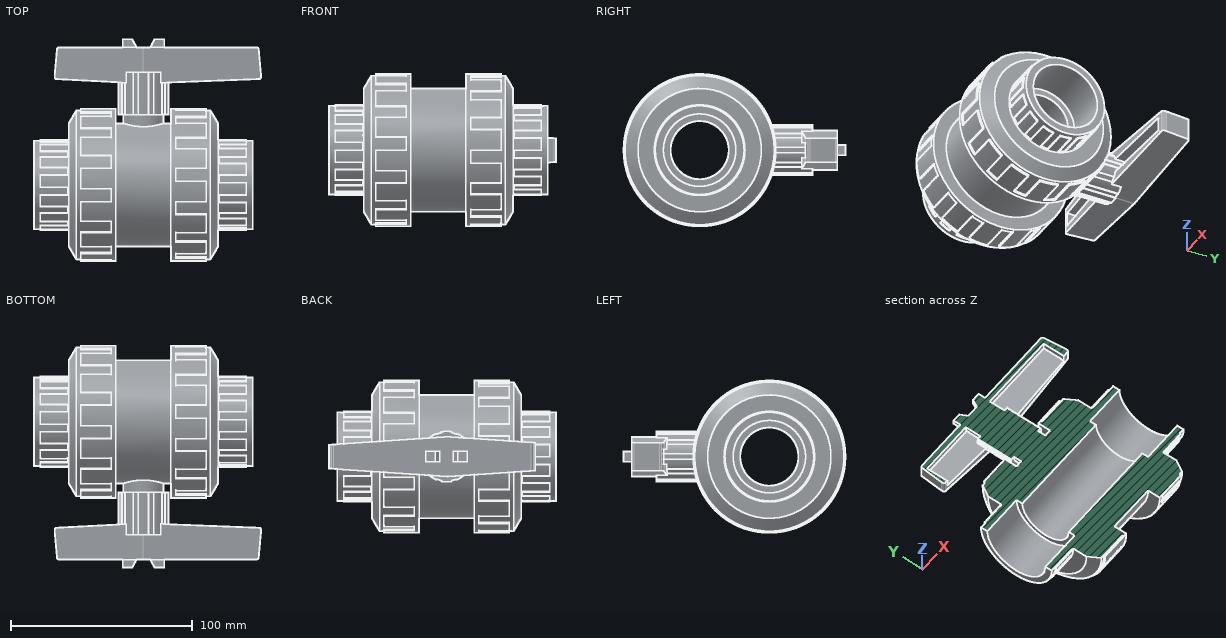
import cadquery as cq


overall_length = 125.2

pipe_end_x = 60.4
pipe_diameter = 49.0
pipe_rib_diameter = 50.0
pipe_rib_end_x = 56.7
pipe_gap_start_x = 41.8

bore_diameter = 32.0
socket_diameter = 40.0
socket_depth = 26.7

body_diameter = 68.0
nut_inner_x = 15.2
nut_gap_start_x = 17.8
nut_rib_end_x = 34.6
nut_cone_start_x = 37.0
nut_outer_x = 41.2
nut_diameter = 82.3
nut_rib_diameter = 84.0
nut_face_diameter = body_diameter

rib_count = 14
rib_gap_angle = 10.0
rib_gap_depth = 1.3

stem_diameter = 22.3
hub_diameter = 27.9
hub_bottom_y = 38.8
hub_top_y = 62.2
hub_groove_count = 10
hub_groove_width = 3.0
hub_groove_depth = 0.5

handle_left_x = -49.0
handle_right_x = overall_length - pipe_end_x
handle_crease_x = -0.5
handle_top_y = 75.9
handle_end_bottom_y = 58.4
handle_lean_start_y = 60.6
handle_middle_bottom_y = 55.9
handle_end_lean = 1.4
handle_edge_radius = 1.3
handle_middle_width = 21.9
handle_left_width = 15.4
handle_right_width = 13.2

pocket_width = 8.3
pocket_left_wall = 2.9
pocket_right_wall = 4.8
pocket_roof = 3.8

lug_height = 4.5
lug_width = 5.8
lug_outer_x = 11.5
lug_top_inner_x = 6.1
lug_base_inner_x = 3.8


def cylinder_along_x(diameter, start_x, end_x):
    return cq.Workplane("YZ", origin=(start_x, 0, 0)).circle(diameter / 2).extrude(end_x - start_x)


def cylinder_along_y(diameter, start_y, end_y):
    return cq.Workplane("XZ", origin=(0, start_y, 0)).circle(diameter / 2).extrude(start_y - end_y)


def make_rib_ring(diameter, collar_start_x, gap_start_x, end_x):
    """Collar whose outer end is split into evenly spaced ribs by gaps deeper than the ribs."""
    ring = cylinder_along_x(diameter, collar_start_x, end_x)
    gap = (
        cq.Workplane("XY")
        .moveTo(gap_start_x, diameter / 2 - rib_gap_depth)
        .lineTo(end_x, diameter / 2 - rib_gap_depth)
        .lineTo(end_x, diameter / 2 + rib_gap_depth)
        .lineTo(gap_start_x, diameter / 2 + rib_gap_depth)
        .close()
        .revolve(rib_gap_angle, (0, 0, 0), (1, 0, 0))
    )
    for index in range(rib_count):
        ring = ring.cut(gap.rotate((0, 0, 0), (1, 0, 0), index * 360 / rib_count))
    return ring


def make_union_end():
    """One end of the valve: union nut and pipe stub on the +X side."""
    core = (
        cq.Workplane("XY")
        .moveTo(nut_inner_x, 0)
        .lineTo(nut_inner_x, nut_diameter / 2)
        .lineTo(nut_cone_start_x, nut_diameter / 2)
        .lineTo(nut_outer_x, nut_face_diameter / 2)
        .lineTo(nut_outer_x, pipe_diameter / 2)
        .lineTo(pipe_end_x, pipe_diameter / 2)
        .lineTo(pipe_end_x, 0)
        .close()
        .revolve(360, (0, 0, 0), (1, 0, 0))
    )
    nut_ribs = make_rib_ring(nut_rib_diameter, nut_inner_x, nut_gap_start_x, nut_rib_end_x)
    pipe_ribs = make_rib_ring(pipe_rib_diameter, nut_inner_x, pipe_gap_start_x, pipe_rib_end_x)
    return core.union(nut_ribs).union(pipe_ribs)


def make_hub():
    """Splined hub between the stem and the handle."""
    hub = cylinder_along_y(hub_diameter, hub_bottom_y, hub_top_y)
    hub_height = hub_top_y - hub_bottom_y
    groove = cq.Workplane("XY").box(2 * hub_groove_depth, hub_height, hub_groove_width)
    groove = groove.translate((hub_diameter / 2, (hub_bottom_y + hub_top_y) / 2, 0))
    for index in range(hub_groove_count):
        hub = hub.cut(groove.rotate((0, 0, 0), (0, 1, 0), index * 360 / hub_groove_count))
    return hub


def make_handle():
    """Lever that thins towards both ends, hollow underneath."""
    side = (
        cq.Workplane("XY")
        .moveTo(handle_left_x, handle_end_bottom_y)
        .lineTo(handle_crease_x, handle_middle_bottom_y)
        .lineTo(handle_right_x, handle_end_bottom_y)
        .lineTo(handle_right_x, handle_lean_start_y)
        .lineTo(handle_right_x - handle_end_lean, handle_top_y)
        .lineTo(handle_left_x + handle_end_lean, handle_top_y)
        .lineTo(handle_left_x, handle_lean_start_y)
        .close()
        .extrude(handle_middle_width, both=True)
        .edges("|Z and (<(1,1,0) or >(1,1,0) or <(1,-1,0) or >(1,-1,0))")
        .fillet(handle_edge_radius)
    )
    plan = (
        cq.Workplane("XZ")
        .moveTo(handle_left_x, handle_left_width / 2)
        .lineTo(handle_crease_x, handle_middle_width / 2)
        .lineTo(handle_right_x, handle_right_width / 2)
        .lineTo(handle_right_x, -handle_right_width / 2)
        .lineTo(handle_crease_x, -handle_middle_width / 2)
        .lineTo(handle_left_x, -handle_left_width / 2)
        .close()
        .extrude(-overall_length)
    )
    pocket_left_x = handle_left_x + pocket_left_wall
    pocket_right_x = handle_right_x - pocket_right_wall
    pocket = cq.Workplane("XY").box(
        pocket_right_x - pocket_left_x,
        handle_top_y - pocket_roof,
        pocket_width,
        centered=(False, False, True),
    )
    pocket = pocket.translate((pocket_left_x, 0, 0))
    pocket = pocket.cut(cylinder_along_y(stem_diameter, 0, handle_top_y))
    return side.intersect(plan).cut(pocket)


def make_lug():
    """Indicator lug on the +X side, sloping on its inner face."""
    return (
        cq.Workplane("XY")
        .moveTo(lug_base_inner_x, handle_top_y)
        .lineTo(lug_outer_x, handle_top_y)
        .lineTo(lug_outer_x, handle_top_y + lug_height)
        .lineTo(lug_top_inner_x, handle_top_y + lug_height)
        .close()
        .extrude(lug_width / 2, both=True)
    )


union_end = make_union_end()
lug = make_lug()

valve = cylinder_along_x(body_diameter, -nut_inner_x, nut_inner_x)
valve = valve.union(union_end).union(union_end.rotate((0, 0, 0), (0, 1, 0), 180))

valve = valve.union(make_handle())
valve = valve.union(make_hub())
valve = valve.union(cylinder_along_y(stem_diameter, 0, hub_bottom_y))
valve = valve.union(lug).union(lug.mirror("YZ"))

socket = cylinder_along_x(socket_diameter, pipe_end_x - socket_depth, pipe_end_x)
valve = valve.cut(cylinder_along_x(bore_diameter, -pipe_end_x, pipe_end_x))
valve = valve.cut(socket).cut(socket.mirror("YZ"))

result = valve